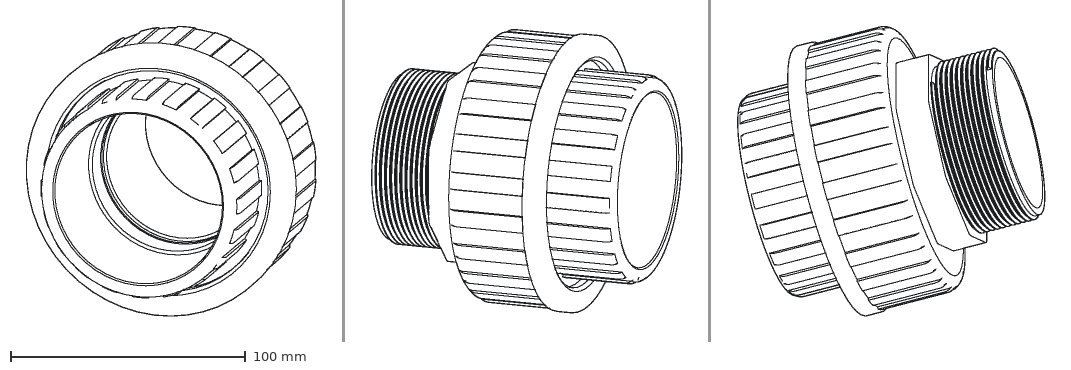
import cadquery as cq
import math


collar_face_y = -56.0
nut_front_y = -28.3
flange_back_y = -20.4
nut_back_y = 14.2
octagon_end_y = 28.7
tail_end_y = 56.0

rib_height = 1.01

flange_radius = 59.4
flange_front_round = 1.0
flange_back_round = 0.4
nut_radius = 57.3
nut_back_round = 3.0
lip_radius = 48.7
lip_mouth_radius = 100.3 / 2
lip_mouth_depth = 1.4
nut_bore_radius = 52.2
nut_rib_count = 22
nut_rib_width = 7.4
nut_rib_round = 5.0

collar_radius = 43.7
collar_round = 2.0
collar_rib_count = 20
collar_rib_width = 6.5
collar_rib_round = 4.5
shoulder_radius = lip_radius
shoulder_y = nut_front_y + 4.7
head_radius = nut_bore_radius
head_length = 20.4
socket_mouth_radius = 37.5
socket_end_radius = 36.7
socket_depth = 44.6
socket_chamfer = 0.7
collar_bore_radius = 70 / 2
joint_y = flange_back_y + head_length

octagon_sides = 8
octagon_apothem = 80.0 / 2
octagon_round = 5.0
tail_bore_radius = 66.1 / 2
counterbore_radius = 69.0 / 2
counterbore_depth = 2.4
thread_root_radius = 72.2 / 2
thread_crest_radius = 75.1 / 2
thread_pitch = 2.31
thread_crest_flat = 0.4
thread_flank_angle = 27.5
thread_start_y = 29.2
thread_turns = 11
thread_sink = 0.2


def revolve_about_y(profile):
    """Turn an open (radius, y) outline into a closed ring about the Y axis."""
    return profile.close().revolve(360, (0, 0, 0), (0, 1, 0))


def rod(radius, start_y, end_y):
    """Solid cylinder on the Y axis."""
    return cq.Workplane("XZ", origin=(0, start_y, 0)).circle(radius).extrude(start_y - end_y)


def add_ribs(body, count, width, base_radius, root_y, tip_y, tip_round):
    """Add straight grip ribs, each with its outer edge rounded down to the body at tip_y."""
    top = base_radius + rib_height
    floor = base_radius - tip_round
    outward = math.copysign(1, tip_y - root_y)
    profile = (
        cq.Workplane("XY")
        .moveTo(floor, root_y)
        .lineTo(top, root_y)
        .lineTo(top, tip_y - outward * tip_round)
        .radiusArc((top - tip_round, tip_y), -outward * tip_round)
        .lineTo(floor, tip_y)
    )
    ring = revolve_about_y(profile)
    slab = cq.Workplane("XY").box(width, 4 * flange_radius, top, centered=(True, True, False))
    rib = ring.intersect(slab)
    for i in range(count):
        body = body.union(rib.rotate((0, 0, 0), (0, 1, 0), i * 360 / count))
    return body


def make_nut():
    """Ribbed nut with a front flange, a countersunk lip and a wider bore behind the lip."""
    flange = rod(flange_radius, nut_front_y, flange_back_y)
    flange = flange.faces("<Y").edges().fillet(flange_front_round)
    flange = flange.faces(">Y").edges().fillet(flange_back_round)
    barrel = rod(nut_radius, flange_back_y, nut_back_y).faces(">Y").edges().fillet(nut_back_round)
    nut = add_ribs(
        flange.union(barrel),
        nut_rib_count, nut_rib_width, nut_radius, flange_back_y, nut_back_y, nut_rib_round,
    )
    mouth = (
        cq.Workplane("XY")
        .moveTo(0, nut_front_y)
        .lineTo(lip_mouth_radius, nut_front_y)
        .lineTo(lip_radius, nut_front_y + lip_mouth_depth)
        .lineTo(lip_radius, flange_back_y)
        .lineTo(nut_bore_radius, flange_back_y)
        .lineTo(nut_bore_radius, nut_back_y)
        .lineTo(0, nut_back_y)
    )
    return nut.cut(revolve_about_y(mouth))


def make_collar():
    """Ribbed socket collar whose head is held behind the nut's lip."""
    barrel = rod(collar_radius, collar_face_y, shoulder_y).faces("<Y").edges().fillet(collar_round)
    collar = add_ribs(
        barrel,
        collar_rib_count, collar_rib_width, collar_radius, shoulder_y, collar_face_y, collar_rib_round,
    )
    collar = collar.union(rod(shoulder_radius, shoulder_y, flange_back_y))
    collar = collar.union(rod(head_radius, flange_back_y, joint_y))
    socket_end_y = collar_face_y + socket_depth
    bore = (
        cq.Workplane("XY")
        .moveTo(0, collar_face_y)
        .lineTo(socket_mouth_radius + socket_chamfer, collar_face_y)
        .lineTo(socket_mouth_radius, collar_face_y + socket_chamfer)
        .lineTo(socket_end_radius, socket_end_y)
        .lineTo(collar_bore_radius, socket_end_y)
        .lineTo(collar_bore_radius, joint_y)
        .lineTo(0, joint_y)
    )
    return collar.cut(revolve_about_y(bore))


def make_thread():
    """Right-hand helical ridge whose trapezoid section reaches a little into the tail."""
    inner_radius = thread_root_radius - thread_sink
    height = thread_crest_radius - inner_radius
    half_crest = thread_crest_flat / 2
    half_base = half_crest + height * math.tan(math.radians(thread_flank_angle))
    helix = cq.Wire.makeHelix(thread_pitch, thread_pitch * thread_turns, inner_radius)
    ridge = (
        cq.Workplane("XZ", origin=(inner_radius, 0, 0))
        .moveTo(0, -half_base)
        .lineTo(height, -half_crest)
        .lineTo(height, half_crest)
        .lineTo(0, half_base)
        .close()
        .sweep(cq.Workplane(obj=helix), isFrenet=True)
    )
    return ridge.rotate((0, 0, 0), (1, 0, 0), -90).translate((0, thread_start_y, 0))


def make_tail():
    """Tail with a head inside the nut, an octagon for a wrench and an external thread."""
    octagon = (
        cq.Workplane("XZ", origin=(0, nut_back_y, 0))
        .polygon(octagon_sides, 2 * octagon_apothem, circumscribed=True)
        .extrude(nut_back_y - octagon_end_y)
        .edges("|Y")
        .fillet(octagon_round)
    )
    head = rod(head_radius, joint_y, nut_back_y)
    thread = rod(thread_root_radius, octagon_end_y, tail_end_y).union(make_thread())
    tail = head.union(octagon).union(thread)
    tail = tail.cut(rod(tail_bore_radius, joint_y, tail_end_y))
    return tail.cut(rod(counterbore_radius, joint_y, joint_y + counterbore_depth))


nut = make_nut()
collar = make_collar()
tail = make_tail()
result = cq.Compound.makeCompound([nut.val(), collar.val(), tail.val()])